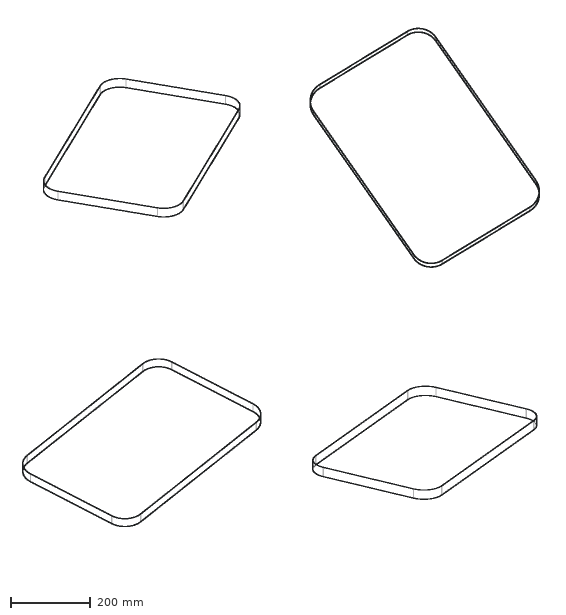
import cadquery as cq

width = 370.0
length = 570.0
height = 25.5
wall = 1.5
corner_radius = 53.0


def rounded_block(inset):
    """Solid rounded block, set in from the outer face of the band."""
    return (
        cq.Workplane("XY")
        .rect(width - 2 * inset, length - 2 * inset)
        .extrude(height)
        .edges("|Z")
        .fillet(corner_radius - inset)
    )


result = rounded_block(0).cut(rounded_block(wall))